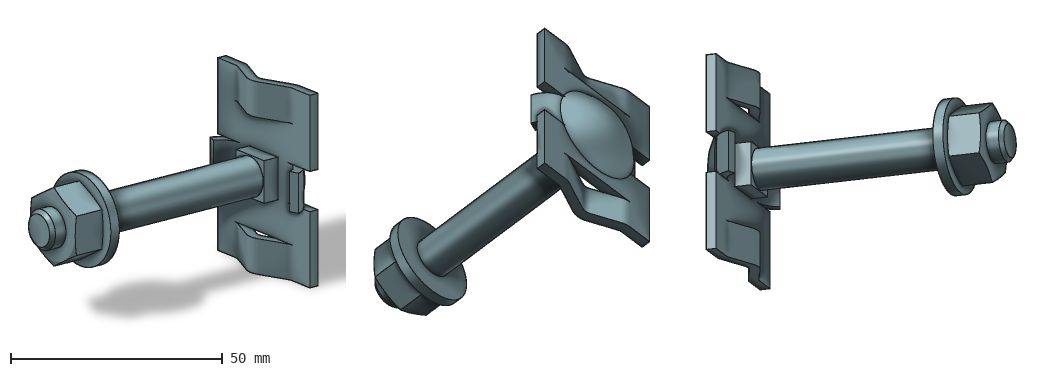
import cadquery as cq
import math


plate_width = 35.0
plate_height = 48.0
plate_thickness = 2.5

rib_height = 8.9
rib_half_width = 10.85
rib_angle = math.radians(23.5)
rib_inner_radius = 3.1
rib_outer_radius = rib_inner_radius + plate_thickness

tab_height = 10.0
tab_root = 9.3
tab_angle = math.radians(70.5)
tab_inner_radius = 5.5
tab_outer_radius = tab_inner_radius + plate_thickness

overall_length = 75.4
head_diameter = 24.5
head_height = 5.3
neck_side = 10.6
neck_depth = 6.6
shank_diameter = 10.0
shank_length = overall_length - head_height
tip_chamfer = 1.0

washer_diameter = 23.0
washer_thickness = 2.6
nut_across_flats = 17.0
nut_thickness = 8.4
nut_chamfer_height = 0.4
bolt_protrusion = 4.15
nut_end = -shank_length + bolt_protrusion
nut_seat = nut_end + nut_thickness


def centred_box(width, depth, height, back=0):
    """Box centred in X and Z that runs from Y = back toward -Y."""
    return cq.Workplane("XY").box(width, depth, height).translate((0, back - depth / 2, 0))


def cylinder_along_y(diameter, length, end):
    """Cylinder on the bolt axis that runs from Y = end toward +Y."""
    return cq.Workplane("XZ", origin=(0, end, 0)).circle(diameter / 2).extrude(-length)


def arc_point(center, radius, angle):
    """Point on an arc, with the angle measured from +Y toward +X."""
    return (center[0] + radius * math.sin(angle), center[1] + radius * math.cos(angle))


def make_rib():
    """V-bent strip of constant thickness, centred in Z."""
    bend_radii = rib_inner_radius + rib_outer_radius
    slope_run = rib_half_width - bend_radii * math.sin(rib_angle)
    depth = bend_radii * (1 - math.cos(rib_angle)) + slope_run * math.tan(rib_angle)

    left_root = (-rib_half_width, -plate_thickness - rib_inner_radius)
    right_root = (rib_half_width, -plate_thickness - rib_inner_radius)
    crest = (0, rib_inner_radius - depth)

    def trace(path, root_radius, crest_radius, from_left):
        """Follow one face of the strip across both root bends and the crest bend."""
        first, last, turn = (left_root, right_root, 1) if from_left else (right_root, left_root, -1)
        bend = turn * rib_angle
        path = path.threePointArc(arc_point(first, root_radius, bend / 2), arc_point(first, root_radius, bend))
        path = path.lineTo(*arc_point(crest, crest_radius, math.pi + bend))
        path = path.threePointArc(
            arc_point(crest, crest_radius, math.pi), arc_point(crest, crest_radius, math.pi - bend)
        )
        path = path.lineTo(*arc_point(last, root_radius, -bend))
        return path.threePointArc(
            arc_point(last, root_radius, -bend / 2), arc_point(last, root_radius, 0)
        )

    outline = cq.Workplane("XY").moveTo(-rib_half_width, 0)
    outline = trace(outline, rib_outer_radius, rib_inner_radius, True)
    outline = outline.lineTo(rib_half_width, -plate_thickness)
    outline = trace(outline, rib_inner_radius, rib_outer_radius, False)
    return outline.close().extrude(rib_height / 2, both=True)


def make_tab():
    """Tab on the +X side, curling from the plate toward -Y."""
    center = (tab_root, -tab_outer_radius)
    return (
        cq.Workplane("XY")
        .moveTo(tab_root, 0)
        .threePointArc(
            arc_point(center, tab_outer_radius, tab_angle / 2), arc_point(center, tab_outer_radius, tab_angle)
        )
        .lineTo(*arc_point(center, tab_inner_radius, tab_angle))
        .threePointArc(
            arc_point(center, tab_inner_radius, tab_angle / 2), arc_point(center, tab_inner_radius, 0)
        )
        .close()
        .extrude(tab_height / 2, both=True)
    )


def make_plate():
    plate = centred_box(plate_width, plate_thickness, plate_height)

    rib = make_rib()
    rib_blank = centred_box(2 * rib_half_width, plate_thickness, rib_height)
    rib_offset = (plate_height - rib_height) / 2
    for z in (-rib_offset, rib_offset):
        plate = plate.cut(rib_blank.translate((0, 0, z))).union(rib.translate((0, 0, z)))

    right_tab = make_tab()
    notch_width = plate_width / 2 - tab_root
    notch = centred_box(notch_width, plate_thickness, tab_height)
    notch_offset = tab_root + notch_width / 2
    for x, tab in ((-notch_offset, right_tab.mirror("YZ")), (notch_offset, right_tab)):
        plate = plate.cut(notch.translate((x, 0, 0))).union(tab)

    return plate.cut(centred_box(neck_side, plate_thickness, neck_side))


def make_bolt():
    head_radius = head_diameter / 2
    dome_radius = (head_radius**2 + head_height**2) / (2 * head_height)
    dome_mid_angle = math.asin(head_radius / dome_radius) / 2
    dome_center = (0, head_height - dome_radius)
    head = (
        cq.Workplane("XY")
        .lineTo(head_radius, 0)
        .threePointArc(arc_point(dome_center, dome_radius, dome_mid_angle), (0, head_height))
        .close()
        .revolve(360, (0, 0, 0), (0, 1, 0))
    )
    neck = centred_box(neck_side, neck_depth, neck_side)
    shank = cylinder_along_y(shank_diameter, shank_length, -shank_length).faces("<Y").chamfer(tip_chamfer)
    return head.union(neck).union(shank)


def make_washer():
    washer = cylinder_along_y(washer_diameter, washer_thickness, nut_seat)
    return washer.cut(cylinder_along_y(shank_diameter, washer_thickness, nut_seat))


def make_nut():
    flat_radius = nut_across_flats / 2
    corner_radius = flat_radius / math.cos(math.pi / 6)
    hexagon = (
        cq.Workplane("XZ", origin=(0, nut_end, 0))
        .transformed(rotate=(0, 0, 90))
        .polygon(6, 2 * corner_radius)
        .extrude(-nut_thickness)
    )
    envelope = (
        cq.Workplane("XY")
        .moveTo(0, nut_end)
        .lineTo(flat_radius, nut_end)
        .lineTo(corner_radius, nut_end + nut_chamfer_height)
        .lineTo(corner_radius, nut_seat - nut_chamfer_height)
        .lineTo(flat_radius, nut_seat)
        .lineTo(0, nut_seat)
        .close()
        .revolve(360, (0, 0, 0), (0, 1, 0))
    )
    return hexagon.intersect(envelope).cut(cylinder_along_y(shank_diameter, nut_thickness, nut_end))


plate = make_plate()
bolt = make_bolt()
washer = make_washer()
nut = make_nut()

result = cq.Compound.makeCompound(
    [plate.solids().val(), bolt.solids().val(), washer.solids().val(), nut.solids().val()]
)